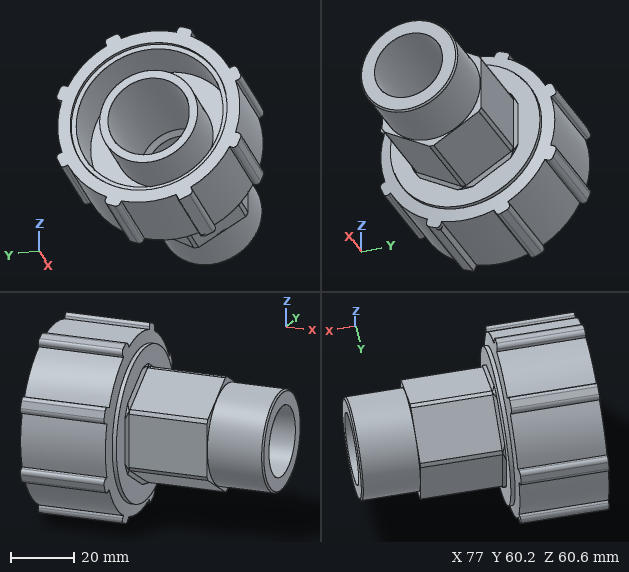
import cadquery as cq
import math

total_length = 77.0
rim_clearance = 0.8
rim_cone_start = 28.3
nut_length = 29.4
flange_end = 30.8
flare_end = 31.8
hex_end = 58.1

nut_diameter = 59.6
rim_diameter = 51.2
mouth_diameter = 51.2
mouth_depth = 1.2
cavity_diameter = 48.0
cavity_depth = 18.95

rib_count = 8
rib_width = 5.2
rib_tip_radius = 31.95
rib_root_radius = 27.7
rib_corner_radius = 1.4
sharp_corner_length = 27.1
sharp_rib_index = 4

flange_diameter = 51.2
hex_across_flats = 33.9
hex_corner_diameter = 38.3
flare_across_flats = 36.2
flare_corner_diameter = 39.1

inner_tube_diameter = 32.0
spigot_diameter = 33.3
spigot_chamfer = 0.55
bore_entry_diameter = 26.6
bore_exit_diameter = 23.25
bore_cone_start = 38.5
bore_cone_length = (bore_entry_diameter - bore_exit_diameter) / 2


def cylinder(diameter, start, end):
    return cq.Workplane("YZ", origin=(start, 0, 0)).circle(diameter / 2).extrude(end - start)


def hexagon(across_flats):
    """Circumscribed diameter of a hexagon with the given distance across flats."""
    return across_flats / math.cos(math.pi / 6)


def make_rib(index):
    """One rib with rounded tip corners; one rib keeps a tip corner sharp for most of its length."""
    height = rib_tip_radius - rib_root_radius
    rib_middle = (rib_tip_radius + rib_root_radius) / 2
    rib = (
        cq.Workplane("YZ")
        .center(0, rib_middle)
        .rect(rib_width, height)
        .extrude(nut_length)
        .edges("|X and >Z")
        .fillet(rib_corner_radius)
    )
    if index == sharp_rib_index:
        corner = (
            cq.Workplane("YZ")
            .center((rib_corner_radius - rib_width) / 2, rib_tip_radius - rib_corner_radius / 2)
            .rect(rib_corner_radius, rib_corner_radius)
            .extrude(sharp_corner_length)
        )
        rib = rib.union(corner)
    angle = (index + 0.5) * 360 / rib_count
    return rib.rotate((0, 0, 0), (1, 0, 0), -angle)


def make_nut():
    """Ribbed nut whose far rim is trimmed by a steep cone, with a stepped cavity."""
    nut = cylinder(nut_diameter, 0, nut_length)
    for index in range(rib_count):
        nut = nut.union(make_rib(index))
    rim_envelope = (
        cq.Workplane("XY")
        .moveTo(0, 0)
        .lineTo(0, rib_tip_radius + rim_clearance)
        .lineTo(rim_cone_start, rib_tip_radius + rim_clearance)
        .lineTo(rim_cone_start, rib_tip_radius)
        .lineTo(nut_length, rim_diameter / 2)
        .lineTo(nut_length, 0)
        .close()
        .revolve(360, (0, 0, 0), (1, 0, 0))
    )
    nut = nut.intersect(rim_envelope)
    nut = nut.cut(cylinder(mouth_diameter, 0, mouth_depth))
    return nut.cut(cylinder(cavity_diameter, 0, cavity_depth))


def make_hex_grip():
    """Hexagon with turned corners, flats in +Y and -Y, flaring out towards the flange."""
    grip = (
        cq.Workplane("YZ", origin=(flange_end, 0, 0))
        .transformed(rotate=(0, 0, 90))
        .polygon(6, hexagon(hex_across_flats))
        .extrude(hex_end - flange_end)
        .intersect(cylinder(hex_corner_diameter, flange_end, hex_end))
    )
    flare = (
        cq.Workplane("YZ", origin=(flange_end, 0, 0))
        .transformed(rotate=(0, 0, 90))
        .polygon(6, hexagon(flare_across_flats))
        .workplane(offset=flare_end - flange_end)
        .polygon(6, hexagon(hex_across_flats))
        .loft(ruled=True)
        .intersect(cylinder(flare_corner_diameter, flange_end, flare_end))
    )
    return grip.union(flare)


def make_bore():
    """Stepped through bore with a 45 degree cone between its two diameters."""
    return (
        cq.Workplane("XY")
        .lineTo(0, bore_entry_diameter / 2)
        .lineTo(bore_cone_start, bore_entry_diameter / 2)
        .lineTo(bore_cone_start + bore_cone_length, bore_exit_diameter / 2)
        .lineTo(total_length, bore_exit_diameter / 2)
        .lineTo(total_length, 0)
        .close()
        .revolve(360, (0, 0, 0), (1, 0, 0))
    )


flange = cylinder(flange_diameter, cavity_depth, flange_end)
inner_tube = cylinder(inner_tube_diameter, 0, flange_end)
spigot = cylinder(spigot_diameter, flange_end, total_length).faces(">X").chamfer(spigot_chamfer)

body = make_nut().union(flange).union(inner_tube).union(make_hex_grip()).union(spigot)
result = body.cut(make_bore())